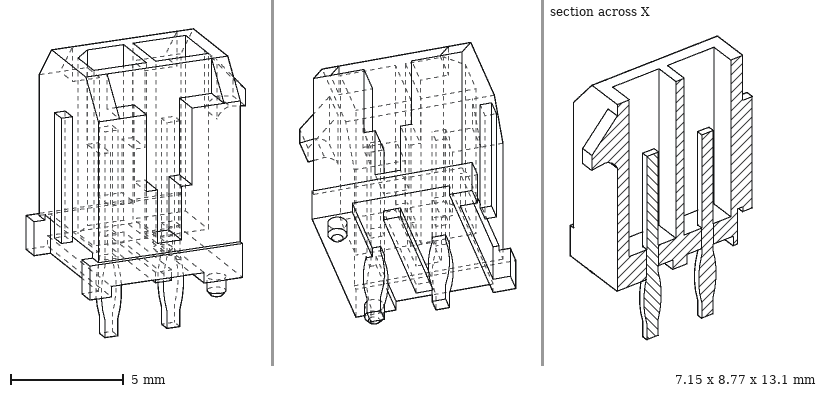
import cadquery as cq


body_width = 6.65
body_depth = 6.86
body_top = 9.91
mouth_width = 3.85
shoulder_height = 1.65
body_back = body_depth / 2
body_front = -body_depth / 2
shoulder_bottom = body_top - shoulder_height

base_width = 7.15
base_height = 1.61
front_step = 0.52
base_front = body_front - front_step

recess_width = 5.34
recess_height = 1.86
recess_depth = 0.27

rib_width = 0.8
rib_top = 7.53

pocket_back = 2.65
pocket_front = -2.41
wide_slot_width = 2.2
wide_slot_bottom = 4.63
narrow_slot_width = 1.17
narrow_slot_bottom = 2.11

channel_height = 0.5
back_foot_edge = 1.57
middle_foot_thickness = 0.79
middle_foot_width = recess_width
front_foot_edge = -2.9

pitch = 3.0
contact_places = (pitch / 2, -pitch / 2)
cavity_size = 2.54
cavity_floor = base_height
key_chamfer = 0.79

latch_width = 1.39
latch_reach = 1.39
latch_ramp_top = 9.31
latch_nose_top = 7.74
latch_nose_bottom = 6.94
latch_hook_reach = 0.63
latch_hook_height = 7.04
latch_bend_reach = 0.29
latch_bend_height = 6.89
latch_root = 6.53

peg_spacing = 6.0
peg_place_y = 2.42
peg_diameter = 0.85
peg_length = 0.86
peg_tip_height = 0.21
peg_tip_inset = 0.17

pin_size = 0.63
pin_top = 6.55
pin_bottom = -3.18
bulge_width = 0.98
bulge_top = 0.21
bulge_bottom = -2.35


def block(x_range, y_range, z_range):
    """Rectangular block between pairs of limits."""
    (x0, x1), (y0, y1), (z0, z1) = x_range, y_range, z_range
    return cq.Workplane("XY").box(x1 - x0, y1 - y0, z1 - z0, centered=False).translate((x0, y0, z0))


def centred(width):
    """Limits of a width centred on zero."""
    return (-width / 2, width / 2)


def make_body():
    """Main block with sloping shoulders along its top."""
    outline = [
        (-body_width / 2, 0),
        (-body_width / 2, shoulder_bottom),
        (-mouth_width / 2, body_top),
        (mouth_width / 2, body_top),
        (body_width / 2, shoulder_bottom),
        (body_width / 2, 0),
    ]
    return cq.Workplane("XZ").polyline(outline).close().extrude(body_depth / 2, both=True)


def make_base():
    return block(centred(base_width), (base_front, body_back), (0, base_height))


def make_front_recess():
    return block(centred(recess_width), (base_front, body_front + recess_depth), (0, recess_height))


def make_rib():
    return block(centred(rib_width), (base_front, body_front), (base_height, rib_top))


def make_latch():
    """Ramp with a hooked underside, extruded across the middle of the back."""
    return (
        cq.Workplane("YZ")
        .moveTo(body_back, latch_ramp_top)
        .lineTo(body_back + latch_reach, latch_nose_top)
        .lineTo(body_back + latch_reach, latch_nose_bottom)
        .lineTo(body_back + latch_hook_reach, latch_hook_height)
        .threePointArc((body_back + latch_bend_reach, latch_bend_height), (body_back, latch_root))
        .close()
        .extrude(latch_width / 2, both=True)
    )


def make_side_pocket():
    """Pocket on the +X side: an open shelf, then two slots that narrow downwards."""
    x_range = (mouth_width / 2, body_width / 2)
    shelf = block(x_range, (pocket_front, pocket_back), (shoulder_bottom, body_top))
    wide_slot = block(x_range, centred(wide_slot_width), (wide_slot_bottom, body_top))
    narrow_slot = block(x_range, centred(narrow_slot_width), (narrow_slot_bottom, body_top))
    return shelf.union(wide_slot).union(narrow_slot)


def make_channel():
    """Space under the base, running right across and leaving the middle foot standing."""
    z_range = (0, channel_height)
    channel = block(centred(base_width), (front_foot_edge, back_foot_edge), z_range)
    middle_foot = block(centred(middle_foot_width), centred(middle_foot_thickness), z_range)
    return channel.cut(middle_foot)


def make_cavity(place_y):
    y_range = (place_y - cavity_size / 2, place_y + cavity_size / 2)
    return block(centred(cavity_size), y_range, (cavity_floor, body_top))


def make_peg(place_x):
    """Round locating peg with a tapered tip, hanging below the board face."""
    tip_z = -peg_length
    radius = peg_diameter / 2
    profile = [
        (0, 0),
        (radius, 0),
        (radius, tip_z + peg_tip_height),
        (radius - peg_tip_inset, tip_z),
        (0, tip_z),
    ]
    peg = cq.Workplane("XZ").polyline(profile).close().revolve(360, (0, 0), (0, 1))
    return peg.translate((place_x, peg_place_y, 0))


def make_pin(place_y):
    """Square pin whose tail swells into a lens-shaped press-fit zone."""
    half = pin_size / 2
    bulge_middle = (bulge_top + bulge_bottom) / 2
    return (
        cq.Workplane("YZ")
        .moveTo(-half, pin_top)
        .lineTo(half, pin_top)
        .lineTo(half, bulge_top)
        .threePointArc((bulge_width / 2, bulge_middle), (half, bulge_bottom))
        .lineTo(half, pin_bottom)
        .lineTo(-half, pin_bottom)
        .lineTo(-half, bulge_bottom)
        .threePointArc((-bulge_width / 2, bulge_middle), (-half, bulge_top))
        .close()
        .extrude(pin_size / 2, both=True)
        .translate((0, place_y, 0))
    )


def make_housing(pins):
    housing = make_body().union(make_base())
    housing = housing.cut(make_front_recess())
    housing = housing.union(make_rib()).union(make_latch())

    side_pocket = make_side_pocket()
    housing = housing.cut(side_pocket).cut(side_pocket.mirror("YZ"))
    housing = housing.cut(make_channel())

    back_place, front_place = contact_places
    keyed_cavity = make_cavity(front_place).edges("|Z and <X and <Y").chamfer(key_chamfer)
    housing = housing.cut(make_cavity(back_place)).cut(keyed_cavity)

    for place_x in centred(peg_spacing):
        housing = housing.union(make_peg(place_x))

    for pin in pins:
        housing = housing.cut(pin)
    return housing


pins = [make_pin(place_y) for place_y in contact_places]
housing = make_housing(pins)

result = cq.Compound.makeCompound([housing.solids().val(), *[pin.val() for pin in pins]])